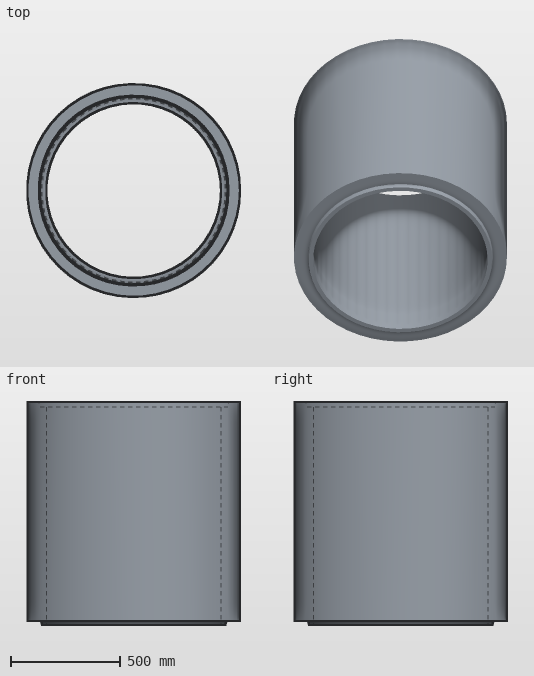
import cadquery as cq

barrel_radius = 488.0
bore_radius = 400.0
overall_height = 1023.0

spigot_height = 19.0
spigot_root_radius = 425.0
spigot_tip_radius = 420.0

socket_depth = 23.0
socket_mouth_radius = 435.0
socket_floor_radius = 430.0

spigot_bottom = -spigot_height
barrel_top = overall_height - spigot_height
socket_floor = barrel_top - socket_depth


def wall_profile():
    """Half section of the wall in the XZ plane, where local x is the radius and local y is the height."""
    return (
        cq.Workplane("XZ")
        .moveTo(bore_radius, spigot_bottom)
        .lineTo(spigot_tip_radius, spigot_bottom)
        .lineTo(spigot_root_radius, 0)
        .lineTo(barrel_radius, 0)
        .lineTo(barrel_radius, barrel_top)
        .lineTo(socket_mouth_radius, barrel_top)
        .lineTo(socket_floor_radius, socket_floor)
        .lineTo(bore_radius, socket_floor)
        .close()
    )


result = wall_profile().revolve(360, (0, 0, 0), (0, 1, 0))